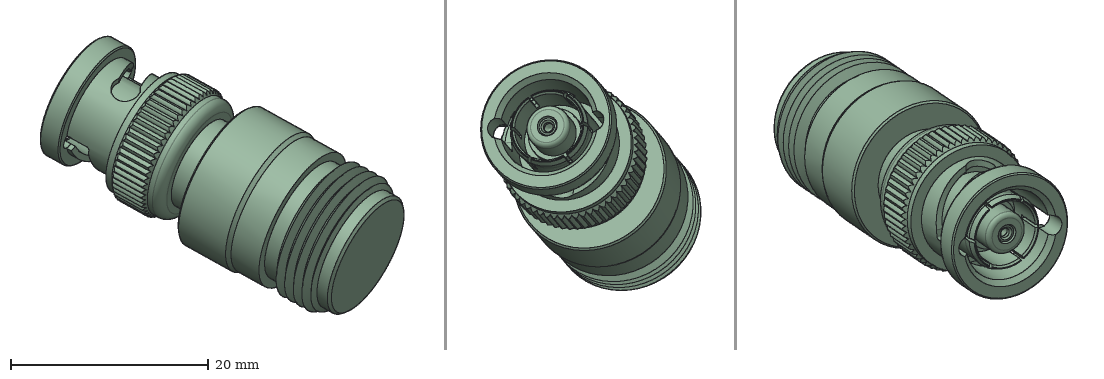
import cadquery as cq
import math

TOTAL_LENGTH = 35.8

FLANGE_DIA = 13.7
FLANGE_END = 2.45
EDGE_CHAMFER = 0.15
BARREL_DIA = 11.2
BARREL_END = 8.2
SHELL_BORE_DIA = 9.8
SHELL_BORE_END = 8.2
SHELL_MOUTH_DIA = 10.9

KNURL_START = 8.93
KNURL_END = 13.32
KNURL_TIP_RADIUS = 7.3
KNURL_ROOT_RADIUS = 6.97
KNURL_FLANK_BULGE = 0.06
KNURL_TOOTH_COUNT = 58
NUT_END = 15.0
NUT_ROUNDING = 1.05

NECK_DIA = 10.0
BODY_START = 17.8
BODY_DIA = 16.0
BODY_END = 24.3
BODY_CHAMFER = 0.2
BODY_BEVEL_LENGTH = 0.5
SHOULDER_DIA = 15.5
SHOULDER_END = 27.75

JACK_DIA = 13.5
JACK_CHAMFER = 0.3
THREAD_DIA = 15.5
THREAD_PITCH = 25.4 / 24
THREAD_FLANK_ANGLE = 30
FIRST_CREST = 29.87
FULL_CREST_COUNT = 4
LAST_CREST = 33.87

ENTRY_WIDTH = 2.1
ENTRY_END = 5.2
ENTRY_CORNER_RADIUS = 0.3
RAMP_LEAD = 7.9
RAMP_AXIAL_WIDTH = 2.45
RAMP_END = 5.95
SEAT_DIA = 3.0
SEAT_X = 5.9
KEYWAY_DIA = 2.16
KEYWAY_OFFSET = 5.0

SLEEVE_START = 0.75
SLEEVE_DIA = 7.9
SLEEVE_BORE_DIA = 7.0
SLEEVE_LIP_DIA = 8.1
SLEEVE_LIP_LENGTH = 1.6
SLEEVE_BORE_END = 5.0
SLEEVE_TAPER_DEPTH = 0.25
SLEEVE_TAPER_LENGTH = 0.6
SLEEVE_INNER_CHAMFER = 0.2
SLEEVE_SLOT_COUNT = 6
SLEEVE_SLOT_WIDTH = 0.35
SLEEVE_SLOT_END = 3.7

INSULATOR_START = 0.65
NOSE_DIA = 4.5
NOSE_ROUNDING = 0.5
NOSE_END = 3.7
INSULATOR_DIA = 5.5
SOCKET_DIA = 2.08
SOCKET_TIP_DIA = 1.8
SOCKET_RECESS = 0.2
SOCKET_MOUTH_DIA = 1.4
SOCKET_BORE_DIA = 1.0
SOCKET_BORE_DEPTH = 0.6
SOCKET_CONE_DEPTH = 0.5

ROUGH_CLEARANCE = 0.5


def turned(profile):
    """Revolve a closed profile of (x, radius) around the X axis."""
    return profile.close().revolve(360, (0, 0, 0), (1, 0, 0))


def rod(start, end, diameter):
    return cq.Workplane("YZ", origin=(start, 0, 0)).circle(diameter / 2).extrude(end - start)


def about_axis(shape, angle):
    return shape.rotate((0, 0, 0), (1, 0, 0), angle)


def make_shell():
    flange = rod(0, FLANGE_END, FLANGE_DIA).edges().chamfer(EDGE_CHAMFER)
    barrel = rod(0, BARREL_END, BARREL_DIA)
    nut = rod(BARREL_END, NUT_END, FLANGE_DIA).faces(">X").edges().fillet(NUT_ROUNDING)
    return flange.union(barrel).union(nut)


def make_knurl():
    """Ring of teeth with slightly bulged flanks, bevelled at both ends; one tooth points up."""
    pitch = 2 * math.pi / KNURL_TOOTH_COUNT
    flank_radius = (KNURL_TIP_RADIUS + KNURL_ROOT_RADIUS) / 2 + KNURL_FLANK_BULGE

    def point_at(radius, pitches):
        heading = math.pi / 2 + pitches * pitch
        return (radius * math.cos(heading), radius * math.sin(heading))

    outline = cq.Workplane("YZ", origin=(KNURL_START, 0, 0)).moveTo(*point_at(KNURL_TIP_RADIUS, 0))
    for tooth in range(KNURL_TOOTH_COUNT):
        root = point_at(KNURL_ROOT_RADIUS, tooth + 0.5)
        next_tip = point_at(KNURL_TIP_RADIUS, tooth + 1)
        outline = outline.threePointArc(point_at(flank_radius, tooth + 0.25), root)
        outline = outline.threePointArc(point_at(flank_radius, tooth + 0.75), next_tip)
    knurl = outline.close().extrude(KNURL_END - KNURL_START)
    bevel = KNURL_TIP_RADIUS - FLANGE_DIA / 2
    envelope = rod(KNURL_START, KNURL_END, 2 * KNURL_TIP_RADIUS).edges().chamfer(bevel)
    return knurl.intersect(envelope)


def make_body():
    neck = rod(NUT_END, BODY_START, NECK_DIA)
    body = turned(
        cq.Workplane("XY")
        .moveTo(BODY_START, 0)
        .lineTo(BODY_START, BODY_DIA / 2 - BODY_CHAMFER)
        .lineTo(BODY_START + BODY_CHAMFER, BODY_DIA / 2)
        .lineTo(BODY_END - BODY_BEVEL_LENGTH, BODY_DIA / 2)
        .lineTo(BODY_END, SHOULDER_DIA / 2)
        .lineTo(SHOULDER_END, SHOULDER_DIA / 2)
        .lineTo(SHOULDER_END, 0)
    )
    jack = rod(SHOULDER_END, TOTAL_LENGTH, JACK_DIA).faces(">X").edges().chamfer(JACK_CHAMFER)
    return neck.union(body).union(jack)


def make_thread():
    """Ridges of equal pitch; the last, lower one is where the thread runs out."""
    slope = math.tan(math.radians(THREAD_FLANK_ANGLE))
    crest_radius = THREAD_DIA / 2
    root_radius = crest_radius - THREAD_PITCH / 2 / slope
    base_radius = JACK_DIA / 2
    final_root = FIRST_CREST + (FULL_CREST_COUNT - 0.5) * THREAD_PITCH
    last_radius = root_radius + (LAST_CREST - final_root) / slope

    first_start = FIRST_CREST - (crest_radius - base_radius) * slope
    profile = cq.Workplane("XY").moveTo(first_start, 0).lineTo(first_start, base_radius)
    for ridge in range(FULL_CREST_COUNT):
        crest = FIRST_CREST + ridge * THREAD_PITCH
        profile = profile.lineTo(crest, crest_radius)
        profile = profile.lineTo(crest + THREAD_PITCH / 2, root_radius)
    last_end = LAST_CREST + (last_radius - base_radius) * slope
    profile = profile.lineTo(LAST_CREST, last_radius).lineTo(last_end, base_radius).lineTo(last_end, 0)
    return turned(profile)


def make_shell_bore():
    """Space for the contact sleeve, open in front, with a tapered mouth."""
    mouth_depth = (SHELL_MOUTH_DIA - SHELL_BORE_DIA) / 2
    mouth = turned(
        cq.Workplane("XY")
        .lineTo(0, SHELL_MOUTH_DIA / 2)
        .lineTo(mouth_depth, SHELL_BORE_DIA / 2)
        .lineTo(mouth_depth, 0)
    )
    return rod(0, SHELL_BORE_END, SHELL_BORE_DIA).union(mouth)


def make_ramp():
    """Helical ramp that climbs from the +Y side to the seat on the +Z side."""
    lead_in = math.degrees(math.asin(ENTRY_WIDTH / BARREL_DIA))
    sweep_angle = 90 + lead_in
    rise = RAMP_LEAD * sweep_angle / 360
    middle_radius = (BARREL_DIA + SHELL_BORE_DIA) / 4
    depth = (BARREL_DIA - SHELL_BORE_DIA) / 2 + 2 * ROUGH_CLEARANCE
    helix = cq.Wire.makeHelix(RAMP_LEAD, rise, middle_radius)
    axis_line = cq.Workplane("XZ").lineTo(0, rise)
    ramp = (
        cq.Workplane("XZ", origin=(middle_radius, 0, 0))
        .rect(depth, RAMP_AXIAL_WIDTH)
        .sweep(cq.Workplane(helix), auxSpine=axis_line)
    )
    along_x = ramp.rotate((0, 0, 0), (0, 1, 0), 90).translate((RAMP_END - rise, 0, 0))
    return about_axis(along_x, 90 - lead_in)


def make_bayonet_slot():
    reach = BARREL_DIA / 2 + ROUGH_CLEARANCE
    inner = SHELL_BORE_DIA / 2 - ROUGH_CLEARANCE
    entry = (
        cq.Workplane("XY")
        .box(ENTRY_END - FLANGE_END, reach - inner, ENTRY_WIDTH, centered=(False, False, True))
        .translate((FLANGE_END, inner, 0))
        .edges(">X and |Y")
        .edges("<Z")
        .fillet(ENTRY_CORNER_RADIUS)
    )
    keyway = rod(0, FLANGE_END, KEYWAY_DIA).translate((0, KEYWAY_OFFSET, 0))
    seat = (
        cq.Workplane("XY", origin=(SEAT_X, 0, inner)).circle(SEAT_DIA / 2).extrude(reach - inner)
    )
    return entry.union(keyway).union(make_ramp()).union(seat)


def make_sleeve():
    """Outer contact: a slotted tube with a lip, both edges bevelled."""
    lip_end = SLEEVE_START + SLEEVE_LIP_LENGTH
    lip_radius = SLEEVE_LIP_DIA / 2
    bore_radius = SLEEVE_BORE_DIA / 2
    sleeve = turned(
        cq.Workplane("XY")
        .moveTo(SLEEVE_START, bore_radius + SLEEVE_INNER_CHAMFER)
        .lineTo(SLEEVE_START, lip_radius - SLEEVE_TAPER_DEPTH)
        .lineTo(SLEEVE_START + SLEEVE_TAPER_LENGTH, lip_radius)
        .lineTo(lip_end, SLEEVE_DIA / 2)
        .lineTo(NUT_END, SLEEVE_DIA / 2)
        .lineTo(NUT_END, 0)
        .lineTo(SLEEVE_BORE_END, 0)
        .lineTo(SLEEVE_BORE_END, bore_radius)
        .lineTo(SLEEVE_START + SLEEVE_INNER_CHAMFER, bore_radius)
    )
    slot = (
        cq.Workplane("XY")
        .box(SLEEVE_SLOT_END, SLEEVE_LIP_DIA / 2, SLEEVE_SLOT_WIDTH, centered=(False, False, True))
    )
    for index in range(SLEEVE_SLOT_COUNT):
        sleeve = sleeve.cut(about_axis(slot, index * 360 / SLEEVE_SLOT_COUNT))
    return sleeve


def make_insulator():
    nose = rod(INSULATOR_START, NOSE_END, NOSE_DIA).faces("<X").edges().fillet(NOSE_ROUNDING)
    return nose.union(rod(NOSE_END, SLEEVE_BORE_END, INSULATOR_DIA))


def make_socket_cut():
    """Everything removed at the centre: the tapered recess, bevelled mouth and conical-ended bore."""
    tip = INSULATOR_START + SOCKET_RECESS
    mouth_depth = (SOCKET_MOUTH_DIA - SOCKET_BORE_DIA) / 2
    bore_end = tip + SOCKET_BORE_DEPTH
    return turned(
        cq.Workplane("XY")
        .moveTo(INSULATOR_START, 0)
        .lineTo(INSULATOR_START, SOCKET_DIA / 2)
        .lineTo(tip, SOCKET_TIP_DIA / 2)
        .lineTo(tip, SOCKET_MOUTH_DIA / 2)
        .lineTo(tip + mouth_depth, SOCKET_BORE_DIA / 2)
        .lineTo(bore_end, SOCKET_BORE_DIA / 2)
        .lineTo(bore_end + SOCKET_CONE_DEPTH, 0)
    )


shell = make_shell().union(make_knurl()).cut(make_shell_bore())
bayonet_slot = make_bayonet_slot()
shell = shell.cut(bayonet_slot).cut(about_axis(bayonet_slot, 180))

result = (
    shell.union(make_body())
    .union(make_thread())
    .union(make_sleeve())
    .union(make_insulator())
    .cut(make_socket_cut())
)